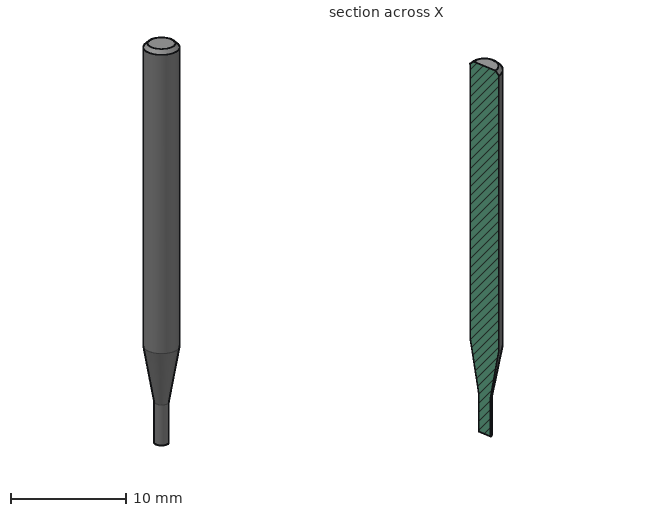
import cadquery as cq

total_length = 38.1
shank_diameter = 3.175
tip_diameter = 1.3
tip_length = 3.9
taper_length = 5.34
end_chamfer = 0.381

shank_radius = shank_diameter / 2
tip_radius = tip_diameter / 2
taper_top = tip_length + taper_length


def make_tool():
    """Revolve the half profile of tip, taper and chamfered shank."""
    return (
        cq.Workplane("XZ")
        .moveTo(0, 0)
        .lineTo(tip_radius, 0)
        .lineTo(tip_radius, tip_length)
        .lineTo(shank_radius, taper_top)
        .lineTo(shank_radius, total_length - end_chamfer)
        .lineTo(shank_radius - end_chamfer, total_length)
        .lineTo(0, total_length)
        .close()
        .revolve(360, (0, 0, 0), (0, 1, 0))
    )


result = make_tool()